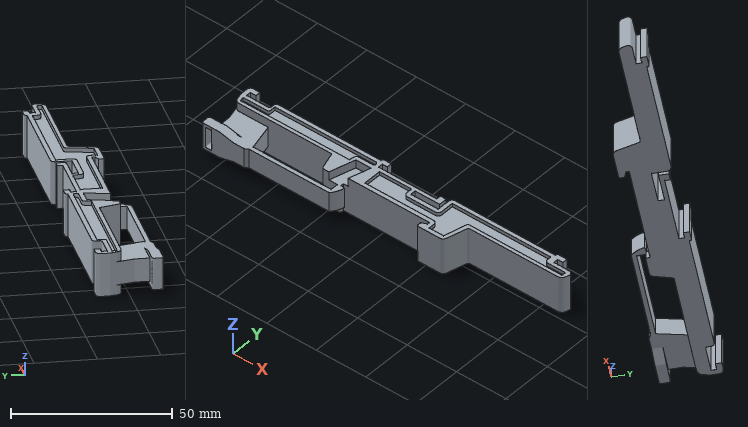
import cadquery as cq
import math

length = 135.9
height = 14.3
arm_height = 7.7
head_height = 10.5
pocket_depth = 1.4

arm_bottom = 0.8
arm_top = 2.5
foot_bottom = 3.3
foot_barb_tip = 5.2
foot_barb_root = 6.0
head_back = 3.7
lug_bottom = 5.5
middle_bottom = 6.9
rail_bottom = 12.6
slot_bottom = 13.6
ledge = 17.1
lip_bottom = 18.9
raised_top = 20.1
hook_top = 20.9

wall = 1.6
thin_wall = 1.4
rib_wall = 1.5

left_edge = 2.0
left_step = 13.3
raised_end = 57.4
lug_left = 42.1
lug_left_bottom = 44.3
middle_left = 51.6
tab_left = 80.9
tab_right = 83.3
slot_left = 73.4
slot_right = 84.4
foot_left = 84.4
foot_neck = 86.5
foot_right = 95.0
foot_right_top = 97.5
right_step = 128.3

end_lean = 0.25
end_lean_top = ledge - 0.5
end_round = 2.2
nose_lean_top = 15.6


def rounded_outline(corners):
    """Closed outline through (x, y, corner radius) points; radius 0 keeps the corner sharp."""
    stretches = []
    count = len(corners)
    for i, (x, y, radius) in enumerate(corners):
        before = cq.Vector(*corners[i - 1][:2])
        corner = cq.Vector(x, y)
        after = cq.Vector(*corners[(i + 1) % count][:2])
        if radius == 0:
            stretches.append([corner])
            continue
        back = (before - corner).normalized()
        ahead = (after - corner).normalized()
        half_angle = back.getAngle(ahead) / 2
        setback = radius / math.tan(half_angle)
        centre_distance = radius / math.sin(half_angle)
        middle = corner + (back + ahead).normalized() * (centre_distance - radius)
        stretches.append([corner + back * setback, middle, corner + ahead * setback])

    sketch = cq.Workplane("XY").moveTo(*stretches[0][-1].toTuple()[:2])
    for stretch in stretches[1:] + stretches[:1]:
        sketch = sketch.lineTo(*stretch[0].toTuple()[:2])
        if len(stretch) == 3:
            sketch = sketch.threePointArc(stretch[1].toTuple()[:2], stretch[2].toTuple()[:2])
    return sketch.close()


def centred_prism(corners, thickness):
    """Prism with the given outline, half above and half below Z = 0."""
    return rounded_outline(corners).extrude(thickness / 2, both=True)


def top_cut(corners, depth):
    """Prism that reaches down from the top face by the given depth."""
    cut = rounded_outline(corners).extrude(depth)
    return cut.translate((0, 0, height / 2 - depth))


def rail_body():
    """Full-height profile: left rail, lug, middle, foot and right rail."""
    left_low = left_edge + end_lean * (end_lean_top - rail_bottom)
    right_low = length - end_lean * (nose_lean_top - rail_bottom)
    corners = [
        (left_edge, end_lean_top, 0),
        (left_edge, ledge, 0),
        (left_step, ledge, 0.7),
        (left_step, raised_top, 1.1),
        (raised_end, raised_top, 0),
        (raised_end, ledge, 0),
        (tab_left, ledge, 0),
        (tab_left, lip_bottom, 0),
        (tab_right, lip_bottom, 0),
        (tab_right, ledge - rib_wall, 0),
        (slot_left, ledge - rib_wall, 0),
        (slot_left, slot_bottom, 0),
        (slot_right, slot_bottom, 0),
        (slot_right, raised_top, 1.5),
        (right_step, raised_top, 0),
        (right_step, ledge, 0),
        (length, ledge, 1.4),
        (length, nose_lean_top, 0),
        (right_low, rail_bottom, end_round),
        (foot_right_top, rail_bottom, 0.8),
        (foot_right, foot_bottom, 1.8),
        (foot_left, foot_bottom, 0.7),
        (foot_left, foot_barb_tip, 0),
        (foot_neck, foot_barb_root, 0),
        (foot_neck, middle_bottom, 0),
        (middle_left, middle_bottom, 0),
        (middle_left, lug_bottom, 0.8),
        (lug_left_bottom, lug_bottom, 1.4),
        (lug_left, rail_bottom, 0.4),
        (left_low, rail_bottom, end_round),
    ]
    return centred_prism(corners, height)


def hook(neck_left, neck_right, tip, corner_round):
    """Upright neck on the ledge with a lip that points to +X."""
    corners = [
        (neck_left, end_lean_top, 0),
        (neck_left, hook_top, corner_round),
        (tip, hook_top, 0),
        (tip, lip_bottom, 0),
        (neck_right, lip_bottom, 0),
        (neck_right, end_lean_top, 0),
    ]
    return centred_prism(corners, height)


def latch_arm():
    """Lower plate under the left rail with the spring arm and its tooth."""
    plate_left = 4.1
    plate_right_top = 16.5
    window_left = 18.9
    window_right = 50.4
    bevel_start = 17.3
    bevel_end = 18.6
    arm_right = 51.0
    arc_middle = (52.5, 3.0)
    tooth_tip = 53.3
    tooth_root_level = 5.8
    plate_bend = end_lean_top - (plate_left - left_edge) / end_lean
    return (
        cq.Workplane("XY")
        .moveTo(left_edge, end_lean_top)
        .lineTo(plate_left, plate_bend)
        .lineTo(plate_left, 0)
        .lineTo(bevel_start, 0)
        .lineTo(bevel_end, arm_bottom)
        .lineTo(arm_right, arm_bottom)
        .threePointArc(arc_middle, (tooth_tip, lug_bottom))
        .lineTo(middle_left, tooth_root_level)
        .lineTo(middle_left, ledge - rib_wall)
        .lineTo(window_right, ledge - rib_wall)
        .lineTo(window_right, arm_top)
        .lineTo(window_left, arm_top)
        .lineTo(plate_right_top, rail_bottom)
        .lineTo(plate_right_top, end_lean_top)
        .close()
        .extrude(arm_height / 2, both=True)
    )


def latch_head():
    """Thumb piece at the left end: a tall block that tapers down to the arm height."""
    taper_start = 7.3
    taper_end = 13.0
    edge_round = 0.8
    finger_left = 1.6
    finger_right = 4.1
    finger_depth = 3.4
    finger_height = 8.2
    finger_round = 0.5
    half_head = head_height / 2
    half_arm = arm_height / 2
    side = [
        (0, -half_head),
        (taper_start, -half_head),
        (taper_end, -half_arm),
        (taper_end, half_arm),
        (taper_start, half_head),
        (0, half_head),
    ]
    head = cq.Workplane("XZ").polyline(side).close().extrude(-head_back)
    head = head.edges("|Z and <X").fillet(edge_round)
    finger_corners = [
        (finger_left, 0, 0),
        (finger_left, finger_depth, 0),
        (finger_right, 0, 0),
    ]
    finger_notch = centred_prism(finger_corners, finger_height)
    finger_notch = finger_notch.faces("<X").edges("|Y").fillet(finger_round)
    return head.cut(finger_notch)


def left_pocket():
    """Shallow pocket in the top face of the left rail."""
    lower_side = rail_bottom + thin_wall
    upper_side = ledge - rib_wall
    left = 3.8
    step = left_step + 1.0
    end_draft = 0.3
    neck_draft = 0.5
    right = 55.7
    neck_bottom = ledge - 0.3
    neck_left = 48.7
    corners = [
        (left, upper_side, 0),
        (step, upper_side, 0.7),
        (step, raised_top - wall, 0),
        (right, raised_top - wall, 0.5),
        (right, neck_bottom, 0.5),
        (neck_left, neck_bottom, 1.1),
        (neck_left - neck_draft, lower_side, 0),
        (left + end_draft, lower_side, 0),
    ]
    return top_cut(corners, pocket_depth)


def right_pocket():
    """Shallow pocket in the top face from the middle, through the foot, to the right rail."""
    left = 59.0
    end_draft = 0.3
    foot_pocket_right = 93.9
    foot_pocket_right_top = 96.1
    lip_pocket_right = right_step - 2.5
    lower_side = rail_bottom + thin_wall
    upper_side = ledge - rib_wall
    corners = [
        (left, upper_side, 0),
        (slot_left - rib_wall, upper_side, 0.4),
        (slot_left - rib_wall, slot_bottom - wall, 1.5),
        (slot_right + wall, slot_bottom - wall, 1.5),
        (slot_right + wall, raised_top - wall, 0),
        (lip_pocket_right, raised_top - wall, 0),
        (lip_pocket_right, upper_side, 1.4),
        (length - wall, upper_side, 0.4),
        (length - wall - end_draft, lower_side, 0),
        (foot_pocket_right_top, lower_side, 0.8),
        (foot_pocket_right, foot_bottom + wall, 0),
        (foot_neck + wall, foot_bottom + wall, 0),
        (foot_neck + wall, middle_bottom + wall, 1.4),
        (left, middle_bottom + wall, 0),
    ]
    return top_cut(corners, pocket_depth)


def slanted_channel():
    """Channel across the lug, open to -Y, with its floor level with the arm's top face."""
    mouth = arm_bottom
    top = 15.2
    top_left = 49.7
    top_right = 55.9
    lean = 0.28
    run = lean * (top - mouth)
    corners = [
        (top_left, top, 0),
        (top_right, top, 0),
        (top_right - run, mouth, 0),
        (top_left - run, mouth, 0),
    ]
    return top_cut(corners, (height - arm_height) / 2)


hooks = [
    (left_edge, 4.0, 6.3, 1.5),
    (55.9, raised_end, 59.4, 0.7),
    (126.4, right_step, 130.5, 0.7),
]

result = rail_body()
for neck_left, neck_right, tip, corner_round in hooks:
    result = result.union(hook(neck_left, neck_right, tip, corner_round))
result = result.union(latch_arm())
result = result.union(latch_head())
for cut in (left_pocket(), right_pocket(), slanted_channel()):
    result = result.cut(cut)